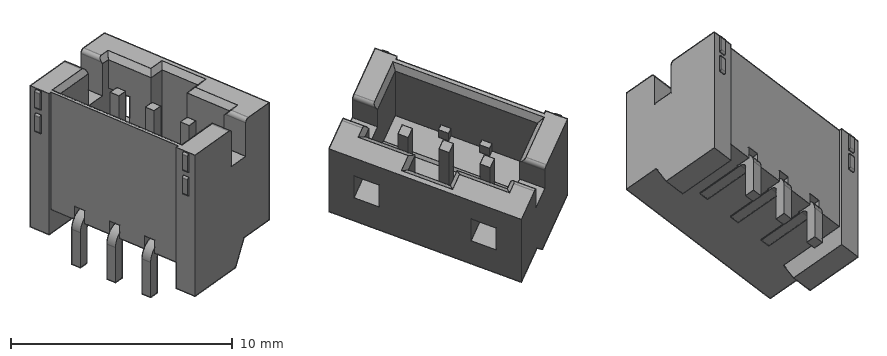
import cadquery as cq


width = 9.4
cheek_front_y = -5.5
panel_front_y = -5.35
panel_half_width = 3.62
base_z = -6.33
foot_z = -7.61
foot_bevel_top_y = -1.86
foot_bevel_bottom_y = -2.49

cavity_half_width = 3.47
cavity_back_y = -1.32
cavity_front_y = -4.9
key_half_width = 1.02
key_back_y = -0.5
mouth_bevel_x = 0.23
mouth_bevel_y = 0.27
mouth_bevel_depth = 0.27
rear_floor_z = -4.36
front_floor_z = -4.74
floor_step_y = -3.12

floor_rib_width = 0.5
floor_rib_back_y = -4.625
floor_rib_height = 0.75

slot_back_y = -1.75
slot_front_y = -2.79
slot_floor_z = -2.0
slot_round = 0.2
window_inner_x = 2.25
window_top_z = -1.8
window_sill_z = -3.995

pin_pitch = 2.0
pin_size = 0.5
pin_back_y = -2.26
pin_top_z = -0.8
lead_front_y = -5.6
lead_top_z = -5.89
lead_bottom_z = -8.6
bend_radius = 0.81
outlet_width = 0.57
outlet_top_z = -5.62
outlet_back_top_y = -4.93
outlet_back_bottom_y = -4.62

crush_rib_x = 4.21
crush_rib_width = 0.3
crush_rib_length = 1.0
crush_rib_tops = (-0.06, -1.33)
crush_rib_round = 0.09

pin_xs = (-pin_pitch, 0, pin_pitch)


def box(x0, x1, y0, y1, z0, z1):
    """Box between opposite corners."""
    return cq.Workplane("XY").box(x1 - x0, y1 - y0, z1 - z0, centered=False).translate((x0, y0, z0))


def extrude_along_x(profile, x_middle, length):
    """Extrude a closed YZ sketch symmetrically about x_middle."""
    return profile.extrude(length / 2, both=True).translate((x_middle, 0, 0))


def make_housing():
    """Body block with a thicker, longer cheek at each end."""
    housing = box(-panel_half_width, panel_half_width, panel_front_y, 0, base_z, 0)
    cheek_width = width / 2 - panel_half_width
    for side in (-1, 1):
        outline = cq.Workplane("YZ").polyline([
            (0, 0),
            (0, base_z),
            (foot_bevel_top_y, base_z),
            (foot_bevel_bottom_y, foot_z),
            (cheek_front_y, foot_z),
            (cheek_front_y, 0),
        ]).close()
        cheek_x = side * (panel_half_width + cheek_width / 2)
        housing = housing.union(extrude_along_x(outline, cheek_x, cheek_width))
    return housing


def cavity_outline(grow_x, grow_y):
    """Points of the keyed cavity outline, enlarged by the given amounts."""
    side = cavity_half_width + grow_x
    key = key_half_width + grow_x
    front = cavity_front_y - grow_y
    back = cavity_back_y + grow_y
    key_back = key_back_y + grow_y
    return [
        (-side, front), (side, front), (side, back), (key, back),
        (key, key_back), (-key, key_back), (-key, back), (-side, back),
    ]


def make_cavity():
    """Keyed cavity with a flared mouth and a floor that steps down to the front."""
    mouth = (
        cq.Workplane("XY").polyline(cavity_outline(mouth_bevel_x, mouth_bevel_y)).close()
        .workplane(offset=-mouth_bevel_depth).polyline(cavity_outline(0, 0)).close()
        .loft(ruled=True, combine=True)
    )
    shaft = cq.Workplane("XY").polyline(cavity_outline(0, 0)).close().extrude(rear_floor_z)
    step_drop = rear_floor_z - front_floor_z
    front_well = cq.Workplane("YZ").polyline([
        (floor_step_y, rear_floor_z),
        (floor_step_y - step_drop, front_floor_z),
        (cavity_front_y, front_floor_z),
        (cavity_front_y, rear_floor_z),
    ]).close()
    return mouth.union(shaft).union(extrude_along_x(front_well, 0, 2 * cavity_half_width))


def make_floor_rib(x_middle):
    """Low rib against the front wall of the cavity."""
    half = floor_rib_width / 2
    return box(x_middle - half, x_middle + half, panel_front_y, floor_rib_back_y,
               front_floor_z, front_floor_z + floor_rib_height)


def make_side_slot():
    """Slot through both end walls, with its top edges rounded outwards."""
    outline = (
        cq.Workplane("YZ")
        .moveTo(slot_back_y + slot_round, 0)
        .radiusArc((slot_back_y, -slot_round), -slot_round)
        .lineTo(slot_back_y, slot_floor_z)
        .lineTo(slot_front_y, slot_floor_z)
        .lineTo(slot_front_y, -slot_round)
        .radiusArc((slot_front_y - slot_round, 0), -slot_round)
        .close()
    )
    return extrude_along_x(outline, 0, width)


def make_window(side):
    """Window through the back wall at one end of the cavity."""
    x0, x1 = sorted((side * window_inner_x, side * cavity_half_width))
    return box(x0, x1, cavity_back_y, 0, window_sill_z, window_top_z)


def make_outlet(x_middle):
    """Notch with a leaning back wall where a lead leaves the front of the base."""
    outline = cq.Workplane("YZ").polyline([
        (panel_front_y, outlet_top_z),
        (outlet_back_top_y, outlet_top_z),
        (outlet_back_bottom_y, base_z),
        (panel_front_y, base_z),
    ]).close()
    return extrude_along_x(outline, x_middle, outlet_width)


def make_pin(x_middle):
    """Square pin that runs down, forward through the base and down again."""
    pin_front_y = pin_back_y - pin_size
    inner_radius = bend_radius - pin_size
    bend_y = lead_front_y + bend_radius
    bend_z = lead_top_z - bend_radius
    outline = (
        cq.Workplane("YZ")
        .moveTo(pin_back_y, pin_top_z)
        .lineTo(pin_front_y, pin_top_z)
        .lineTo(pin_front_y, lead_top_z)
        .lineTo(bend_y, lead_top_z)
        .radiusArc((lead_front_y, bend_z), -bend_radius)
        .lineTo(lead_front_y, lead_bottom_z)
        .lineTo(lead_front_y + pin_size, lead_bottom_z)
        .lineTo(lead_front_y + pin_size, bend_z)
        .radiusArc((bend_y, bend_z + inner_radius), inner_radius)
        .lineTo(pin_back_y, lead_top_z - pin_size)
        .close()
    )
    return extrude_along_x(outline, x_middle, pin_size)


def make_crush_rib(x_middle, top_z):
    """Small rib with rounded ends on the front of a cheek."""
    half = crush_rib_width / 2
    rib = box(x_middle - half, x_middle + half, lead_front_y, cheek_front_y, top_z - crush_rib_length, top_z)
    return rib.faces("<Y").edges("|X").fillet(crush_rib_round)


result = make_housing().cut(make_cavity()).cut(make_side_slot())
for side in (-1, 1):
    result = result.cut(make_window(side))
    result = result.union(make_floor_rib(side * pin_pitch / 2))
    for top_z in crush_rib_tops:
        result = result.union(make_crush_rib(side * crush_rib_x, top_z))
for pin_x in pin_xs:
    result = result.cut(make_outlet(pin_x))
    result = result.union(make_pin(pin_x))